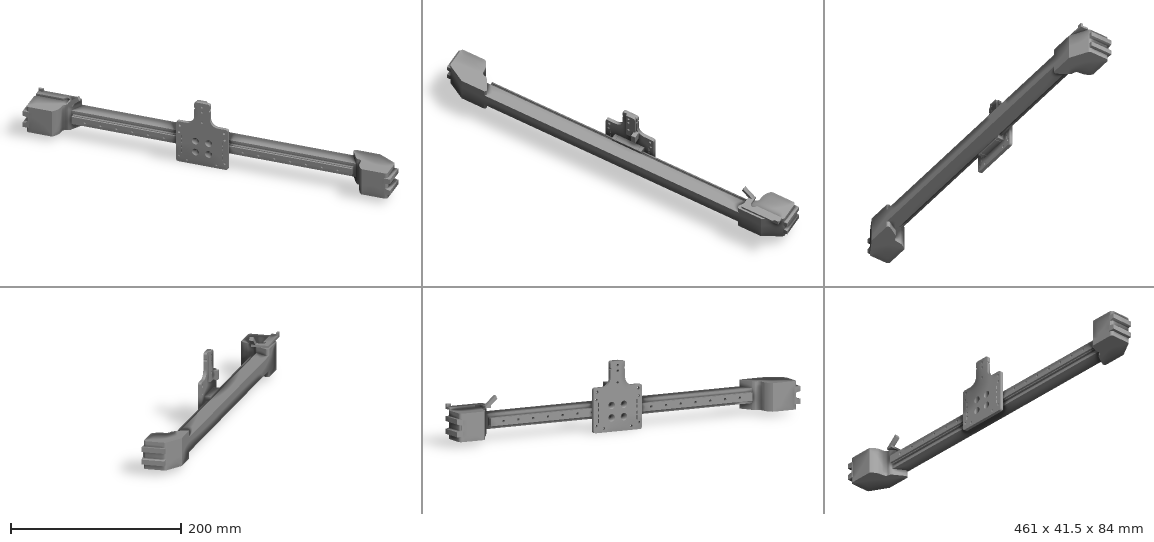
import cadquery as cq


total_length = 461.0
total_depth = 41.5
total_height = 84.0
back_y = total_depth / 2

beam_width = 18.0
beam_depth = 17.5
beam_half_length = 196.0
beam_front_y = back_y - beam_depth

rail_half_length = 175.5
rail_width = 9.5
rail_height = 7.0
rail_front_y = beam_front_y - rail_height
rail_groove_width = 2.0
rail_groove_depth = 1.0
rail_groove_y = -1.0
rail_hole_diameter = 3.2
rail_hole_pitch = 20.0
rail_hole_count = 17

head_half_height = 17.0
head_inner_x = 170.5
head_outer_x = 226.5
head_lip_top_x = 172.5
head_lip_mid_y = 19.0
head_lip_bottom = (171.0, 16.0)
head_wrap_x = 179.0
head_wrap_mid = (180.3, 2.0)
head_shelf_start = (181.5, 1.0)
head_shelf_end = (184.5, 0.5)
head_shoulder_mid = (186.2, -1.0)
head_shoulder = (187.0, -2.8)
head_throat = (188.0, -10.5)
head_nose_mid = (190.0, -14.8)
head_nose_x = 194.0
head_front_y = -20.0
head_side_y = 7.5
head_slope_x = 203.0
head_corner_radius = 3.0

clip_inner_x = 222.5
clip_outer_x = total_length / 2
clip_front_y = back_y - total_depth
clip_half_height = 10.5
clip_notch_x = 224.5
clip_notch_outer_half = 4.5
clip_notch_inner_half = 3.0

bracket_thickness = 2.8
bracket_left_x = -224.5
bracket_right_x = -175.0
bracket_back_y = 18.5
bracket_front_y = 8.8
bracket_arm_width = 7.5
bracket_arm_front_y = -2.5
bracket_relief_radius = 3.5
bracket_knob_length = 6.0
bracket_knob_width = 2.8
bracket_knob_height = 3.0
lever_width = 5.0
lever_base_length = 6.0
lever_tip_x = -166.5
lever_tip_z = 31.5
lever_tip_drop = 4.0
lever_tip_setback = 2.0

plate_center_x = -9.0
plate_width = 65.0
plate_thickness = 4.0
plate_bottom_z = -24.0
plate_shoulder_z = 30.0
plate_top_z = plate_bottom_z + total_height
plate_front_y = -10.5
plate_back_y = plate_front_y + plate_thickness
plate_corner_radius = 2.8
neck_width = 20.0
neck_root_radius = 10.0
neck_notch_z = 51.0
neck_notch_diameter = 2.5
screw_hole_diameter = 3.0
neck_hole_heights = [34.0, 48.0, 55.0]
edge_hole_offset = 28.5
edge_hole_z = 15.5
top_hole_offset = 27.5
top_hole_z = 25.0
top_slot_height = 3.5
bottom_hole_offset = 18.5
bottom_hole_z = -19.5
side_slot_offset = 26.0
side_slot_width = 1.5
side_slots = [(5.0, 9.5), (3.5, 3.5)]

carriage_length = 39.5
carriage_width = 20.0
carriage_back_y = 1.5
carriage_seam_width = 0.5
carriage_seam_offset = 15.0
mount_offset_x = 8.5
mount_offset_z = 7.5
mount_hole_diameter = 3.0
mount_hole_depth = 3.5
mount_sink_diameter = 8.8

clamp_thickness = 2.8
clamp_left_x = -18.0
clamp_right_x = -5.5
clamp_bottom_z = 23.0
clamp_block_left_x = -21.5
clamp_block_right_x = -16.0
clamp_block_top_z = 34.0
clamp_block_back_y = 2.5


def block(x_range, y_range, z_range):
    """Box spanning the given coordinate ranges."""
    size = [high - low for low, high in (x_range, y_range, z_range)]
    corner = (x_range[0], y_range[0], z_range[0])
    return cq.Workplane("XY").box(*size, centered=False).translate(corner)


def front_sketch(y):
    """XZ workplane at the given Y; negative extrusions run toward +Y."""
    return cq.Workplane("XZ", origin=(0, y, 0))


def holes_from(y, points, diameter, depth):
    """Cylinders starting at y and running toward +Y."""
    return front_sketch(y).pushPoints(points).circle(diameter / 2).extrude(-depth)


def corner_points(x, z):
    """Four points mirrored about both axes."""
    return [(-x, -z), (-x, z), (x, -z), (x, z)]


def make_beam():
    half_width = beam_width / 2
    return block((-beam_half_length, beam_half_length), (beam_front_y, back_y), (-half_width, half_width))


def make_rail():
    half_width = rail_width / 2
    span = (-rail_half_length, rail_half_length)
    rail = block(span, (rail_front_y, beam_front_y), (-half_width, half_width))
    groove_y = (rail_groove_y - rail_groove_width / 2, rail_groove_y + rail_groove_width / 2)
    groove_floor = half_width - rail_groove_depth
    rail = rail.cut(block(span, groove_y, (groove_floor, half_width)))
    rail = rail.cut(block(span, groove_y, (-half_width, -groove_floor)))
    middle = (rail_hole_count - 1) / 2
    points = [((i - middle) * rail_hole_pitch, 0) for i in range(rail_hole_count)]
    return rail.cut(holes_from(rail_front_y, points, rail_hole_diameter, rail_height))


def make_head():
    """Head at the +X end: plan outline extruded in Z, plus its grooved end clip."""
    body = (
        cq.Workplane("XY", origin=(0, 0, -head_half_height))
        .moveTo(head_slope_x, back_y)
        .lineTo(head_lip_top_x, back_y)
        .threePointArc((head_inner_x, head_lip_mid_y), head_lip_bottom)
        .lineTo(head_wrap_x, beam_front_y)
        .threePointArc(head_wrap_mid, head_shelf_start)
        .lineTo(*head_shelf_end)
        .threePointArc(head_shoulder_mid, head_shoulder)
        .lineTo(*head_throat)
        .threePointArc(head_nose_mid, (head_nose_x, head_front_y))
        .lineTo(head_outer_x, head_front_y)
        .lineTo(head_outer_x, head_side_y)
        .close()
        .extrude(2 * head_half_height)
    )
    body = body.faces(">X").edges("|Z").fillet(head_corner_radius)
    clip = (
        front_sketch(clip_front_y)
        .polyline([
            (clip_inner_x, -clip_half_height),
            (clip_outer_x, -clip_half_height),
            (clip_outer_x, -clip_notch_outer_half),
            (clip_notch_x, -clip_notch_inner_half),
            (clip_notch_x, clip_notch_inner_half),
            (clip_outer_x, clip_notch_outer_half),
            (clip_outer_x, clip_half_height),
            (clip_inner_x, clip_half_height),
        ])
        .close()
        .extrude(clip_front_y - head_side_y)
    )
    return body.union(clip)


def make_bracket():
    """Flat L-shaped bracket on the -X head with a knob and a slanted lever."""
    bottom = head_half_height
    top = bottom + bracket_thickness
    arm_left_x = bracket_right_x - bracket_arm_width
    bracket = block((bracket_left_x, bracket_right_x), (bracket_front_y, bracket_back_y), (bottom, top))
    arm = block((arm_left_x, bracket_right_x), (bracket_arm_front_y, bracket_back_y), (bottom, top))
    relief = (
        cq.Workplane("XY", origin=(0, 0, bottom))
        .center(arm_left_x - bracket_relief_radius, bracket_front_y)
        .circle(bracket_relief_radius)
        .extrude(bracket_thickness)
    )
    knob = block(
        (bracket_left_x, bracket_left_x + bracket_knob_length),
        (bracket_back_y - bracket_knob_width, bracket_back_y),
        (top, top + bracket_knob_height),
    )
    lever = (
        front_sketch(bracket_arm_front_y)
        .polyline([
            (bracket_right_x - lever_base_length, top),
            (bracket_right_x - lever_base_length, bottom),
            (bracket_right_x, bottom),
            (bracket_right_x, top),
            (lever_tip_x, lever_tip_z - lever_tip_drop),
            (lever_tip_x - lever_tip_setback, lever_tip_z),
        ])
        .close()
        .extrude(-lever_width)
    )
    return bracket.union(arm).cut(relief).union(knob).union(lever)


def make_plate():
    half = plate_width / 2
    neck_half = neck_width / 2
    depth = plate_thickness
    sheet = (
        block((-half, half), (0, depth), (plate_bottom_z, plate_shoulder_z))
        .edges("|Y")
        .fillet(plate_corner_radius)
    )
    neck = (
        block((-neck_half, neck_half), (0, depth), (0, plate_top_z))
        .faces(">Z").edges("|Y").fillet(plate_corner_radius)
    )
    plate = sheet.union(neck)
    margin = plate_thickness
    neck_root = cq.selectors.BoxSelector(
        (-neck_half - margin, -margin, plate_shoulder_z - margin),
        (neck_half + margin, 2 * margin, plate_shoulder_z + margin),
    )
    plate = plate.edges("|Y").edges(neck_root).fillet(neck_root_radius)

    notches = [(side * neck_half, neck_notch_z) for side in (-1, 1)]
    plate = plate.cut(holes_from(0, notches, neck_notch_diameter, depth))

    holes = corner_points(edge_hole_offset, edge_hole_z)
    holes += [(side * bottom_hole_offset, bottom_hole_z) for side in (-1, 1)]
    plate = plate.cut(holes_from(0, holes, screw_hole_diameter, depth))

    sink_radius = mount_sink_diameter / 2
    hole_radius = mount_hole_diameter / 2
    for x, z in corner_points(mount_offset_x, mount_offset_z):
        sink = cq.Solid.makeCone(sink_radius, hole_radius, depth, cq.Vector(x, 0, z), cq.Vector(0, 1, 0))
        plate = plate.cut(cq.Workplane(sink))

    top_slots = (
        front_sketch(0)
        .pushPoints([(side * top_hole_offset, top_hole_z) for side in (-1, 1)])
        .slot2D(top_slot_height, screw_hole_diameter, 90)
        .extrude(-depth)
    )
    plate = plate.cut(top_slots)

    for slot_height, distance in side_slots:
        points = corner_points(side_slot_offset, distance)
        slots = front_sketch(0).pushPoints(points).rect(side_slot_width, slot_height).extrude(-depth)
        plate = plate.cut(slots)
    return plate.translate((plate_center_x, plate_front_y, 0))


def make_carriage():
    half_length = carriage_length / 2
    half_width = carriage_width / 2
    carriage = block((-half_length, half_length), (plate_back_y, carriage_back_y), (-half_width, half_width))
    for side in (-1, 1):
        seam_x = side * carriage_seam_offset
        seam = (seam_x - carriage_seam_width / 2, seam_x + carriage_seam_width / 2)
        for face_z in (-half_width, half_width):
            z_range = (face_z - carriage_seam_width, face_z + carriage_seam_width)
            carriage = carriage.cut(block(seam, (plate_back_y, carriage_back_y), z_range))
    mounts = corner_points(mount_offset_x, mount_offset_z)
    carriage = carriage.cut(holes_from(plate_back_y, mounts, mount_hole_diameter, mount_hole_depth))
    return carriage.translate((plate_center_x, 0, 0))


def make_clamp():
    """Thin strip behind the neck with a thicker block at its lower end."""
    strip_y = (plate_back_y, plate_back_y + clamp_thickness)
    strip = (
        block((clamp_left_x, clamp_right_x), strip_y, (clamp_bottom_z, plate_top_z))
        .faces(">Z").edges("<X").edges("|Y").fillet(plate_corner_radius)
    )
    foot = block(
        (clamp_block_left_x, clamp_block_right_x),
        (plate_back_y, clamp_block_back_y),
        (clamp_bottom_z, clamp_block_top_z),
    )
    return strip.union(foot)


head = make_head()
neck_holes = holes_from(
    plate_front_y,
    [(plate_center_x, z) for z in neck_hole_heights],
    screw_hole_diameter,
    plate_thickness + clamp_thickness,
)

result = (
    make_beam()
    .union(make_rail())
    .union(head)
    .union(head.mirror("YZ"))
    .union(make_bracket())
    .union(make_carriage())
    .union(make_plate())
    .union(make_clamp())
    .cut(neck_holes)
)